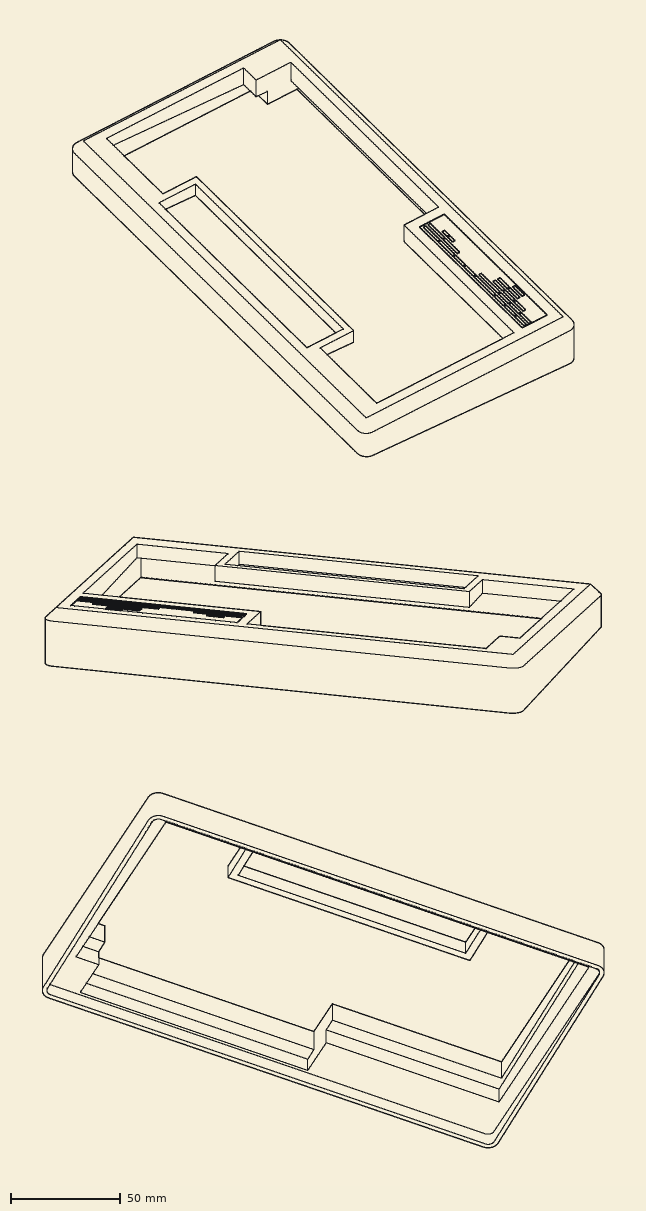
import cadquery as cq
import math

length = 231.0
width = 121.5
height = 26.8
front_rise = 6.7
corner_radius = 5.0
corner_tip_radius = 0.05
top_chamfer = corner_radius - corner_tip_radius
tilt = math.degrees(math.atan(front_rise / width))

key_half_length = 105.5
key_front = -46.2
key_back = 31.5

upper_left = -95.8
upper_right = 19.6
upper_back = 51.0

bar_half_length = 57.7
bar_front = -51.0
bar_back = -30.5
bridge_wall_side = 3.7
bridge_wall_back = 3.2
bridge_half_length = bar_half_length + bridge_wall_side
bridge_back = bar_back + bridge_wall_back

cover_wall = 2.0
cover_roof = 7.2

cavity_depth = 14.3
cavity_end_margin = 6.5
cavity_side_margin = 1.8

panel_left = 24.7
panel_right = 105.0
panel_front = 36.5
panel_back = 50.5
panel_depth = 0.5
stack_unit = 3.7
stack_gap = 0.7
stacks_left = 25.9
stacks_front = 37.9
stripe_height = 1.5
stripe_gap = 1.25
stripe_pitch = stripe_height + stripe_gap
stacks = [[2, 2, 3], [3, 2, 2], [1, 1], [1, 1], [2, 2, 4, 4], [5, 5], [3, 3], [2, 2]]

through = (-height, 2 * height)


def block(x_range, y_range, z_range):
    """Axis-aligned box between the given limits."""
    sizes = [end - start for start, end in (x_range, y_range, z_range)]
    corner = (x_range[0], y_range[0], z_range[0])
    return cq.Workplane("XY").box(*sizes, centered=False).translate(corner)


def tilt_to_underside(shape):
    """Move a shape built on Z = 0 onto the plane of the sloping underside."""
    return shape.rotate((0, 0, 0), (1, 0, 0), -tilt).translate((0, 0, front_rise / 2))


def space_below(depth):
    """Everything below the plane that lies the given depth inside the underside."""
    return tilt_to_underside(block((-length, length), (-length, length), (-length, depth)))


def wedge_body():
    """Solid wedge with rounded corners and a chamfered top edge."""
    body = cq.Workplane("XY").box(length, width, height, centered=(True, True, False))
    body = body.edges("|Z").fillet(corner_radius)
    body = body.faces(">Z").chamfer(top_chamfer)
    return body.cut(space_below(0))


def cover_recess():
    """Rounded recess across the whole underside."""
    recess = cq.Workplane("XY").box(length - 2 * cover_wall, width - 2 * cover_wall, 2 * height)
    recess = tilt_to_underside(recess.edges("|Z").fillet(corner_radius - cover_wall))
    return recess.intersect(block((-length, length), (-width, width), (-height, cover_roof)))


def key_cavity():
    """Hollow under the key openings."""
    half_length = key_half_length + cavity_side_margin
    y_range = (bar_front - cavity_end_margin, key_back + cavity_end_margin)
    main = block((-half_length, half_length), y_range, through)
    upper = block((upper_left, upper_right), (key_back, upper_back + cavity_end_margin), through)
    return main.union(upper).intersect(space_below(cavity_depth))


def key_openings():
    """Openings through the top face, with the bridge left standing between them."""
    main = block((-key_half_length, key_half_length), (key_front, key_back), through)
    upper = block((upper_left, upper_right), (key_back, upper_back), through)
    bridge = block((-bridge_half_length, bridge_half_length), (key_front, bridge_back), through)
    space_bar = block((-bar_half_length, bar_half_length), (bar_front, bar_back), through)
    return main.union(upper).cut(bridge).union(space_bar)


def display_panel():
    """Shallow pocket around the stacked bars."""
    z_range = (height - panel_depth, height)
    panel = block((panel_left, panel_right), (panel_front, panel_back), z_range)
    x = stacks_left
    for stack in stacks:
        for stripes in stack:
            for row in range(stripes):
                y = stacks_front + row * stripe_pitch
                panel = panel.cut(block((x, x + stack_unit), (y, y + stripe_height), z_range))
            x += stack_unit
        x += stack_gap
    return panel


result = wedge_body()
for hollow in (cover_recess(), key_cavity(), key_openings(), display_panel()):
    result = result.cut(hollow)
result = result.clean()